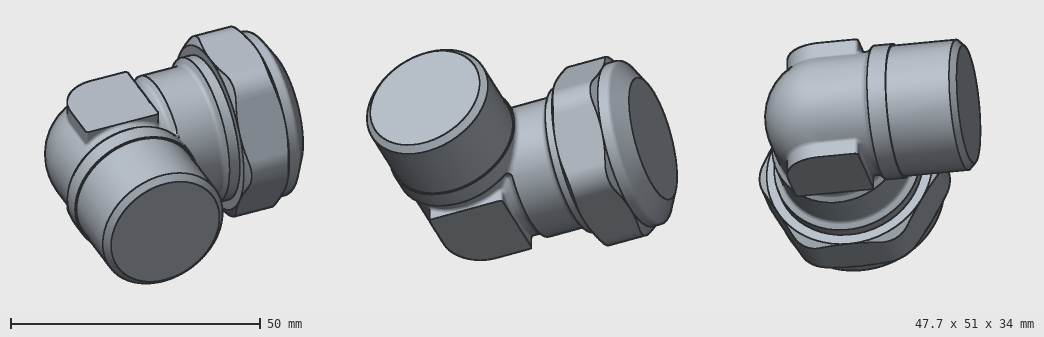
import cadquery as cq
import math

neck_radius = 12.45
shoulder_radius = 13.5
shoulder_start = 11.0
neck_end = shoulder_start - (shoulder_radius - neck_radius)

branch_end = 29.0
branch_radius = 13.15
branch_chamfer = 1.3
branch_collar_end = 14.8

nut_end = 37.5
body_end = 19.45
rim_radius = 15.0
rim_start = 20.3
rim_fillet = 0.9

hex_sides = 6
across_flats = 34.0
hex_corner_rounding = 6.1
hex_start = 22.55
hex_end = 32.55
hex_bevel_angle = 30.0
nut_cone_start = 34.75
nut_face_radius = 12.65
nut_cone_rounding = 1.0

pad_half_width = 7.95
pad_height = 12.9
pad_corner_radius = 0.6
pad_foot_fillet = 0.75

groove_fillet = 0.9

tolerance = 0.005


def revolve_profile(points):
    """Solid of revolution about +Y from (radius, position) points starting and ending on the axis."""
    return cq.Workplane("XY").polyline(points).close().revolve(360, (0, 0, 0), (0, 1, 0))


def turn_to_x(solid):
    """Swing a solid built along +Y onto +X."""
    return solid.rotate((0, 0, 0), (0, 0, 1), -90)


def round_ring(solid, position, radius):
    """Round the circular edge at a position along +Y on a solid built about +Y."""
    ring = cq.selectors.BoxSelector(
        (-across_flats, position - tolerance, -across_flats),
        (across_flats, position + tolerance, across_flats),
    )
    return solid.edges(ring).edges("%CIRCLE").fillet(radius)


def make_branch_arm():
    arm = revolve_profile([
        (0, 0),
        (neck_radius, 0),
        (neck_radius, neck_end),
        (shoulder_radius, shoulder_start),
        (shoulder_radius, branch_collar_end),
        (branch_radius, branch_collar_end),
        (branch_radius, branch_end - branch_chamfer),
        (branch_radius - branch_chamfer, branch_end),
        (0, branch_end),
    ])
    return turn_to_x(arm)


def make_nut_arm():
    arm = revolve_profile([
        (0, 0),
        (neck_radius, 0),
        (neck_radius, neck_end),
        (shoulder_radius, shoulder_start),
        (shoulder_radius, body_end),
        (rim_radius, rim_start),
        (rim_radius, hex_start),
        (0, hex_start),
    ])
    return round_ring(arm, body_end, rim_fillet)


def make_nut():
    flat_radius = across_flats / 2
    corner_radius = flat_radius / math.cos(math.pi / hex_sides)
    bevel = (corner_radius - flat_radius) * math.tan(math.radians(hex_bevel_angle))

    hexagon = (
        cq.Workplane("XZ", origin=(0, hex_end, 0))
        .polygon(hex_sides, 2 * corner_radius)
        .extrude(hex_end - hex_start)
        .edges("|Y")
        .fillet(hex_corner_rounding)
    )
    bevel_envelope = revolve_profile([
        (0, hex_start),
        (flat_radius, hex_start),
        (corner_radius, hex_start + bevel),
        (corner_radius, hex_end - bevel),
        (flat_radius, hex_end),
        (0, hex_end),
    ])
    crown = revolve_profile([
        (0, hex_end),
        (flat_radius, hex_end),
        (flat_radius, nut_cone_start),
        (nut_face_radius, nut_end),
        (0, nut_end),
    ])
    crown = round_ring(crown, nut_cone_start, nut_cone_rounding)
    return hexagon.intersect(bevel_envelope).union(crown)


def make_pads():
    """Square block through the elbow, its outer corner following the bend."""
    return (
        cq.Workplane("XY", origin=(0, 0, -pad_height))
        .rect(2 * pad_half_width, 2 * pad_half_width)
        .extrude(2 * pad_height)
        .edges("|Z and <XY")
        .fillet(pad_half_width)
        .edges("|Z and (>XY or >(1,-1,0) or >(-1,1,0))")
        .fillet(pad_corner_radius)
    )


def points_along(edge):
    return [edge.positionAt(t) for t in (0, 0.3, 0.7, 1)]


def groove_edges(solid):
    """Inside edges of the neck grooves, and the inner corner where the two arms meet at x = y."""
    chosen = []
    for edge in solid.edges().vals():
        points = points_along(edge)
        on_branch_groove = all(abs(p.x - neck_end) < tolerance for p in points)
        on_nut_groove = all(abs(p.y - neck_end) < tolerance for p in points)
        between_arms = all(abs(p.x - p.y) < tolerance for p in points)
        outside_pads = points[1].x > pad_half_width
        if on_branch_groove or on_nut_groove or (between_arms and outside_pads):
            chosen.append(edge)
    return chosen


def pad_foot_edges(solid):
    """Edges where the pad walls run into the neck."""
    chosen = []
    reach = pad_half_width + tolerance
    for edge in solid.edges().vals():
        points = points_along(edge)
        inside_pad_outline = all(abs(p.x) < reach and abs(p.y) < reach for p in points)
        below_pad_faces = all(abs(p.z) < pad_height - tolerance for p in points)
        if inside_pad_outline and below_pad_faces:
            chosen.append(edge)
    return chosen


elbow = cq.Workplane("XY").sphere(neck_radius)
elbow = elbow.union(make_branch_arm()).union(make_nut_arm()).union(make_pads())
elbow = elbow.newObject(groove_edges(elbow)).fillet(groove_fillet)
elbow = elbow.newObject(pad_foot_edges(elbow)).fillet(pad_foot_fillet)
result = elbow.union(make_nut())